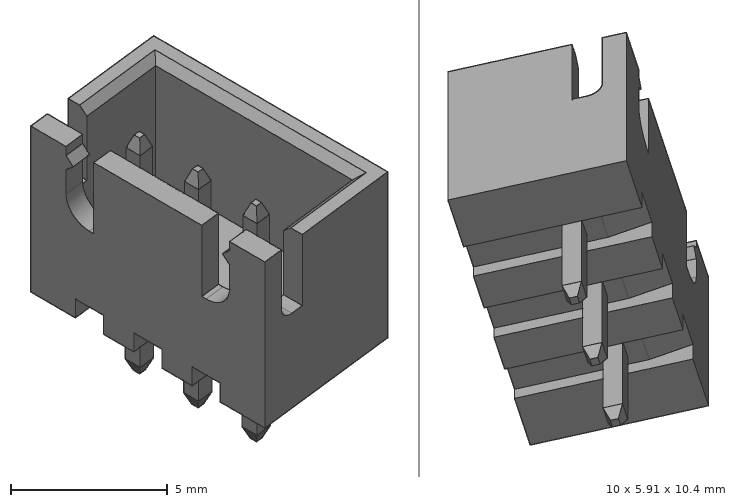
import cadquery as cq

HOUSING_LENGTH = 10.0
HOUSING_DEPTH = 5.91
TOTAL_HEIGHT = 10.4
PIN_PROTRUSION = 3.4
HOUSING_HEIGHT = TOTAL_HEIGHT - PIN_PROTRUSION
WALL = 0.8
FLOOR = 2.0
RIM_CHAMFER = 0.31
RIM_CHAMFER_HEIGHT = 0.29

FRONT_Y = -HOUSING_DEPTH / 2
BACK_Y = HOUSING_DEPTH / 2
CAVITY_FRONT_Y = FRONT_Y + WALL
CAVITY_LENGTH = HOUSING_LENGTH - 2 * WALL
CAVITY_DEPTH = HOUSING_DEPTH - 2 * WALL

SLOT_DEPTH = 3.0
SLOT_BOTTOM_Z = HOUSING_HEIGHT - SLOT_DEPTH
SIDE_SLOT_WIDTH = 1.0
SIDE_SLOT_RADIUS = SIDE_SLOT_WIDTH / 2
FRONT_SLOT_INNER_X = 2.31
FRONT_SLOT_OUTER_X = 3.49
FRONT_SLOT_RADIUS = 1.0
TOOTH_SIZE = 0.3
TOOTH_TIP_DROP = 0.69

PIN_COUNT = 3
PIN_PITCH = 2.5
UPPER_PIN_WIDTH = 0.6
LOWER_PIN_WIDTH = 0.65
UPPER_TIP_WIDTH = 0.24
LOWER_TIP_WIDTH = 0.27
UPPER_TIP_LENGTH = 0.52
LOWER_TIP_LENGTH = 0.5
PIN_TOP_DROP = 0.48
PIN_STEP_Z = FLOOR / 2
PIN_Y = FRONT_Y + 2.4
PIN_POSITIONS = [(i - (PIN_COUNT - 1) / 2) * PIN_PITCH for i in range(PIN_COUNT)]

CHANNEL_WIDTH = 1.2
CHANNEL_FRONT_HEIGHT = 0.8
CHANNEL_BACK_HEIGHT = 0.5
RAMP_LENGTH = 1.45


def rim_flare():
    """Sloped lead-in at the cavity mouth, on the back and side walls."""
    top_length = CAVITY_LENGTH + 2 * RIM_CHAMFER
    top_depth = CAVITY_DEPTH + RIM_CHAMFER
    return (
        cq.Workplane("XY", origin=(0, 0, HOUSING_HEIGHT - RIM_CHAMFER_HEIGHT))
        .rect(CAVITY_LENGTH, CAVITY_DEPTH)
        .workplane(offset=RIM_CHAMFER_HEIGHT)
        .center(0, RIM_CHAMFER / 2)
        .rect(top_length, top_depth)
        .loft(ruled=True)
    )


def housing_shell():
    block = cq.Workplane("XY").box(
        HOUSING_LENGTH, HOUSING_DEPTH, HOUSING_HEIGHT, centered=(True, True, False)
    )
    cavity = cq.Workplane("XY", origin=(0, 0, FLOOR)).box(
        CAVITY_LENGTH, CAVITY_DEPTH, HOUSING_HEIGHT - FLOOR, centered=(True, True, False)
    )
    return block.cut(cavity).cut(rim_flare())


def side_slots():
    """Slot through both end walls, rounded only at its lower front corner."""
    back_y = CAVITY_FRONT_Y + SIDE_SLOT_WIDTH
    return (
        cq.Workplane("YZ")
        .moveTo(CAVITY_FRONT_Y, HOUSING_HEIGHT)
        .lineTo(CAVITY_FRONT_Y, SLOT_BOTTOM_Z + SIDE_SLOT_RADIUS)
        .radiusArc((CAVITY_FRONT_Y + SIDE_SLOT_RADIUS, SLOT_BOTTOM_Z), -SIDE_SLOT_RADIUS)
        .lineTo(back_y, SLOT_BOTTOM_Z)
        .lineTo(back_y, HOUSING_HEIGHT)
        .close()
        .extrude(HOUSING_LENGTH / 2, both=True)
    )


def front_slot():
    """Right-hand slot in the front wall, with a pointed tooth on its outer edge."""
    tooth_z = HOUSING_HEIGHT - TOOTH_TIP_DROP
    return (
        cq.Workplane("XZ", origin=(0, FRONT_Y, 0))
        .moveTo(FRONT_SLOT_INNER_X, HOUSING_HEIGHT)
        .lineTo(FRONT_SLOT_INNER_X, SLOT_BOTTOM_Z)
        .lineTo(FRONT_SLOT_OUTER_X - FRONT_SLOT_RADIUS, SLOT_BOTTOM_Z)
        .radiusArc((FRONT_SLOT_OUTER_X, SLOT_BOTTOM_Z + FRONT_SLOT_RADIUS), -FRONT_SLOT_RADIUS)
        .lineTo(FRONT_SLOT_OUTER_X, tooth_z - TOOTH_SIZE)
        .lineTo(FRONT_SLOT_OUTER_X - TOOTH_SIZE, tooth_z)
        .lineTo(FRONT_SLOT_OUTER_X, tooth_z + TOOTH_SIZE)
        .lineTo(FRONT_SLOT_OUTER_X, HOUSING_HEIGHT)
        .close()
        .extrude(-WALL)
    )


def underside_channel(x):
    """Channel from front to back whose ceiling ramps down from the front face."""
    return (
        cq.Workplane("YZ", origin=(x, 0, 0))
        .moveTo(FRONT_Y, 0)
        .lineTo(FRONT_Y, CHANNEL_FRONT_HEIGHT)
        .lineTo(FRONT_Y + RAMP_LENGTH, CHANNEL_BACK_HEIGHT)
        .lineTo(BACK_Y, CHANNEL_BACK_HEIGHT)
        .lineTo(BACK_Y, 0)
        .close()
        .extrude(CHANNEL_WIDTH / 2, both=True)
    )


def pin_end(x, width, tip_width, shank_length, tip_length, direction):
    """Half of a pin, from the floor middle up (direction 1) or down (direction -1)."""
    shank = (
        cq.Workplane("XY", origin=(x, PIN_Y, PIN_STEP_Z))
        .rect(width, width)
        .extrude(direction * shank_length)
    )
    tip = (
        cq.Workplane("XY", origin=(x, PIN_Y, PIN_STEP_Z + direction * shank_length))
        .rect(width, width)
        .workplane(offset=direction * tip_length)
        .rect(tip_width, tip_width)
        .loft(ruled=True)
    )
    return shank.union(tip)


def pin(x):
    """Square pin through the floor, tapered at both ends, slimmer above the floor."""
    upper_shank = HOUSING_HEIGHT - PIN_TOP_DROP - UPPER_TIP_LENGTH - PIN_STEP_Z
    lower_shank = PIN_PROTRUSION - LOWER_TIP_LENGTH + PIN_STEP_Z
    upper = pin_end(x, UPPER_PIN_WIDTH, UPPER_TIP_WIDTH, upper_shank, UPPER_TIP_LENGTH, 1)
    lower = pin_end(x, LOWER_PIN_WIDTH, LOWER_TIP_WIDTH, lower_shank, LOWER_TIP_LENGTH, -1)
    return upper.union(lower)


right_slot = front_slot()
result = housing_shell().cut(side_slots()).cut(right_slot).cut(right_slot.mirror("YZ"))

for pin_x in PIN_POSITIONS:
    result = result.cut(underside_channel(pin_x))
    result = result.union(pin(pin_x))